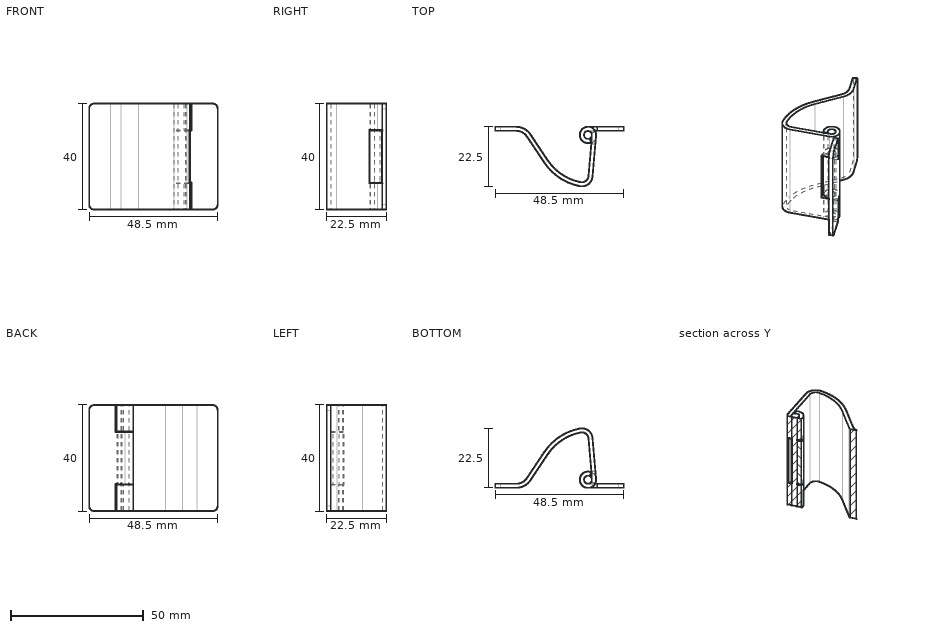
import cadquery as cq
import math

HEIGHT = 40.0
THICKNESS = 1.6
PIN_RADIUS = 1.5
KNUCKLE_RADIUS = PIN_RADIUS + THICKNESS
TOTAL_WIDTH = 48.5
CORNER_RADIUS = 2.0

CURL_CLEARANCE = 0.5
CURL_END_ANGLE = math.degrees(math.acos(PIN_RADIUS / KNUCKLE_RADIUS)) + CURL_CLEARANCE

LEAF_END_X = 13.5
LEAF_SIDE_X = 3.5
LEAF_KNUCKLE_HEIGHT = 19.6

CLIP_END_X = LEAF_END_X - TOTAL_WIDTH
CLIP_BOTTOM_Y = -19.4
LEG_ANGLE = 5.0
ARM_ANGLE = 56.3
BELLY_END_ANGLE = 11.0
TOE_RADIUS = 4.05
BELLY_RADIUS = 20.9
SHOULDER_RADIUS = 4.85
WINDOW_HEIGHT = 20.1
WINDOW_BOTTOM_Y = -3.4


def polar(center, radius, angle):
    """Point on a circle; angle in degrees from +X."""
    turn = math.radians(angle)
    return (center[0] + radius * math.cos(turn), center[1] + radius * math.sin(turn))


def arc(sketch, center, radius, start, end):
    """Continue an outline along an arc from the start angle to the end angle."""
    return sketch.threePointArc(polar(center, radius, (start + end) / 2), polar(center, radius, end))


def curl(sketch, start):
    """Continue from the sheet's outer face round the knuckle and back along the pin bore."""
    origin = (0, 0)
    end = start + 360 - CURL_END_ANGLE
    sketch = arc(sketch, origin, KNUCKLE_RADIUS, start, end)
    sketch = sketch.lineTo(*polar(origin, PIN_RADIUS, end))
    return arc(sketch, origin, PIN_RADIUS, end, start)


def block(x_min, x_max, y_min, y_max, height):
    """Box centred on the mid-height plane."""
    return cq.Workplane("XY").box(x_max - x_min, y_max - y_min, height).translate(
        ((x_min + x_max) / 2, (y_min + y_max) / 2, 0)
    )


def round_end(sheet, side):
    """Round the two corners of the flange at the given X side."""
    return sheet.faces(side).edges("|Y").fillet(CORNER_RADIUS)


def make_leaf():
    profile = cq.Workplane("XY").moveTo(LEAF_END_X, PIN_RADIUS).lineTo(LEAF_END_X, KNUCKLE_RADIUS)
    profile = curl(profile.lineTo(0, KNUCKLE_RADIUS), 90)
    leaf = profile.close().extrude(HEIGHT / 2, both=True)
    knuckle_side = block(-KNUCKLE_RADIUS, LEAF_SIDE_X, -KNUCKLE_RADIUS, KNUCKLE_RADIUS, HEIGHT)
    knuckle_band = block(-KNUCKLE_RADIUS, LEAF_SIDE_X, -KNUCKLE_RADIUS, KNUCKLE_RADIUS, LEAF_KNUCKLE_HEIGHT)
    return round_end(leaf.cut(knuckle_side.cut(knuckle_band)), ">X")


def make_clip():
    leg_normal = -LEG_ANGLE
    belly_end = -90 - BELLY_END_ANGLE
    arm_normal = -90 - ARM_ANGLE
    shoulder_end = arm_normal + 180

    toe_y = CLIP_BOTTOM_Y + TOE_RADIUS
    lean = math.radians(LEG_ANGLE)
    toe_x = (KNUCKLE_RADIUS - TOE_RADIUS + toe_y * math.sin(lean)) / math.cos(lean)
    toe = (toe_x, toe_y)

    belly = polar(toe, BELLY_RADIUS - TOE_RADIUS, belly_end + 180)

    shoulder_y = PIN_RADIUS - SHOULDER_RADIUS
    slope = math.radians(ARM_ANGLE)
    rise = shoulder_y - belly[1]
    shoulder_x = belly[0] - (BELLY_RADIUS + SHOULDER_RADIUS + rise * math.cos(slope)) / math.sin(slope)
    shoulder = (shoulder_x, shoulder_y)

    toe_inner = TOE_RADIUS - THICKNESS
    belly_inner = BELLY_RADIUS - THICKNESS
    shoulder_outer = SHOULDER_RADIUS + THICKNESS

    profile = cq.Workplane("XY").moveTo(CLIP_END_X, PIN_RADIUS).lineTo(shoulder_x, PIN_RADIUS)
    profile = arc(profile, shoulder, SHOULDER_RADIUS, 90, shoulder_end)
    profile = profile.lineTo(*polar(belly, BELLY_RADIUS, arm_normal))
    profile = arc(profile, belly, BELLY_RADIUS, arm_normal, belly_end)
    profile = arc(profile, toe, TOE_RADIUS, belly_end, leg_normal)
    profile = profile.lineTo(*polar((0, 0), KNUCKLE_RADIUS, leg_normal))
    profile = curl(profile, leg_normal)

    profile = profile.lineTo(*polar(toe, toe_inner, leg_normal))
    profile = arc(profile, toe, toe_inner, leg_normal, belly_end)
    profile = arc(profile, belly, belly_inner, belly_end, arm_normal)
    profile = profile.lineTo(*polar(shoulder, shoulder_outer, shoulder_end))
    profile = arc(profile, shoulder, shoulder_outer, shoulder_end, 90)
    profile = profile.lineTo(CLIP_END_X, KNUCKLE_RADIUS).close()
    clip = round_end(profile.extrude(HEIGHT / 2, both=True), "<X")

    window = block(-LEAF_SIDE_X, LEAF_SIDE_X, WINDOW_BOTTOM_Y, LEAF_SIDE_X, WINDOW_HEIGHT)
    return clip.cut(window)


def make_pin():
    return cq.Workplane("XY").circle(PIN_RADIUS).extrude(HEIGHT / 2, both=True)


clip = make_clip()
leaf = make_leaf()
pin = make_pin()

result = cq.Compound.makeCompound([clip.val(), leaf.val(), pin.val()])